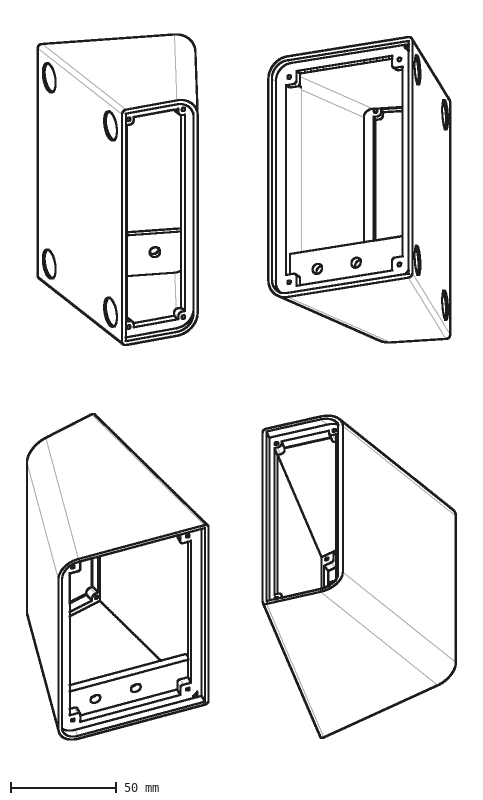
import cadquery as cq
import math

length_x = 92.0
depth_y = 73.6
height = 120.6
face_tilt = 15.0
back_slope = 25.0
back_radius = 10.0
front_radius = 2.0

recess_rim_u = 1.9
recess_wall = 2.0
recess_depth = 4.2
frame_thickness = 4.0
end_frame_thickness = 4.7
cavity_wall = 3.6
cavity_roof = 6.0

opening_inset_u = 7.4
opening_inset_z = 6.5
tab_inset = 12.8
tab_radius = 1.5
screw_inset = 8.9
screw_diameter = 1.8
notch_inset_u = 4.1
notch_inset_z = 3.1
notch_leg = 2.2

end_inset_y = 4.6
end_tab_inset_y = 8.2
end_tab_inset_z = 10.0
end_tab_radius = 2.0
end_screw_inset_y = 5.5
end_screw_inset_z = 7.1

shelf_height = 24.5
shelf_thickness = 4.0
shelf_hole_diameter = 5.0
shelf_hole_z = 14.8
shelf_holes_u = (33.8, 54.3)

foot_diameter = 14.0
foot_depth = 1.0
foot_spacing_x = 66.8
foot_spacing_z = 95.4

tilt_sin = math.sin(math.radians(face_tilt))
tilt_cos = math.cos(math.radians(face_tilt))
slope_tan = math.tan(math.radians(back_slope))
slope_cos = math.cos(math.radians(back_slope))

top_x = depth_y * tilt_sin / tilt_cos
end_y = depth_y - (length_x - top_x) * slope_tan
face_width = depth_y / tilt_cos
frame_back = recess_depth + frame_thickness
middle_u = face_width / 2
middle_z = height / 2
end_frame_x = length_x - recess_depth - end_frame_thickness
end_opening_back = end_y - end_inset_y
inward_edges = cq.selectors.ParallelDirSelector(cq.Vector(tilt_cos, -tilt_sin, 0))


def tilted_plane(depth):
    """Sketch plane parallel to the tilted face: u up the face, v along Z, normal pointing inwards."""
    origin = (depth * tilt_cos, -depth * tilt_sin, 0)
    return cq.Workplane(cq.Plane(origin, (tilt_sin, tilt_cos, 0), (tilt_cos, -tilt_sin, 0)))


def tilted_block(u_min, u_max, z_min, z_max, depth, thickness):
    """Box square to the tilted face, starting at the given depth below it."""
    sketch = tilted_plane(depth).center((u_min + u_max) / 2, (z_min + z_max) / 2)
    return sketch.rect(u_max - u_min, z_max - z_min).extrude(thickness)


def wedge(wall, roof):
    """Outer wedge inset by a wall (by the roof at +Z); its back edges keep the body's fillet lines."""
    back_drop = wall / slope_cos
    left_x = wall * tilt_sin / tilt_cos
    peak_x = (depth_y - back_drop + top_x * slope_tan) / (tilt_cos / tilt_sin + slope_tan)
    peak_y = peak_x * tilt_cos / tilt_sin
    outline = [(left_x, wall), (length_x, wall), (length_x, end_y - back_drop), (peak_x, peak_y)]
    solid = cq.Workplane("XY").workplane(offset=wall).polyline(outline).close().extrude(height - wall - roof)
    back_edges = cq.selectors.ParallelDirSelector(cq.Vector(1, -slope_tan, 0))
    solid = solid.edges(back_edges).edges("<Z").fillet(back_radius - wall)
    return solid.edges(back_edges).edges(">Z").fillet(back_radius - roof)


def make_cavity():
    """Space between the two frames; its back corner follows the tilted opening."""
    between = tilted_block(0, face_width - opening_inset_u, 0, height, frame_back, 2 * length_x)
    before_end = cq.Workplane("XY").box(end_frame_x, depth_y, height, centered=False)
    return wedge(cavity_wall, cavity_roof).intersect(between).intersect(before_end)


def make_tilted_recess():
    """Panel recess in the tilted face, rounded at its two back corners."""
    recess = tilted_block(
        recess_rim_u, face_width - recess_rim_u, recess_wall, height - recess_wall, 0, recess_depth
    )
    corner_edges = recess.edges(inward_edges)
    return corner_edges.edges(">Y").fillet(back_radius - recess_wall)


def make_tilted_opening():
    """Opening through the tilted frame, less a tab with a screw hole in every corner."""
    opening = tilted_block(
        opening_inset_u, face_width - opening_inset_u,
        opening_inset_z, height - opening_inset_z, recess_depth, frame_thickness,
    )
    corners = [(s, t) for s in (-1, 1) for t in (-1, 1)]
    tab_points = [(middle_u + s * middle_u, middle_z + t * middle_z) for s, t in corners]
    tabs = (
        tilted_plane(recess_depth).pushPoints(tab_points)
        .rect(2 * tab_inset, 2 * tab_inset).extrude(frame_thickness)
        .edges(inward_edges).fillet(tab_radius)
    )
    screw_u = middle_u - screw_inset
    screw_z = middle_z - screw_inset
    screw_points = [(middle_u + s * screw_u, middle_z + t * screw_z) for s, t in corners]
    screws = tilted_plane(recess_depth).pushPoints(screw_points).circle(screw_diameter / 2)
    return opening.cut(tabs).union(screws.extrude(frame_thickness))


def make_corner_notches():
    """Triangular pockets in the two front corners of the tilted frame."""
    notches = cq.Workplane("XY")
    for z, step in ((notch_inset_z, notch_leg), (height - notch_inset_z, -notch_leg)):
        triangle = [(notch_inset_u, z), (notch_inset_u + notch_leg, z), (notch_inset_u, z + step)]
        notches = notches.add(tilted_plane(recess_depth).polyline(triangle).close().extrude(frame_thickness))
    return notches.combine()


def end_block(y_min, y_max, inset_z, x_min, x_max):
    """Box reaching from x_min to x_max, inset equally from both Z sides."""
    corner = (x_min, y_min, inset_z)
    size_z = height - 2 * inset_z
    return cq.Workplane("XY").box(x_max - x_min, y_max - y_min, size_z, centered=False).translate(corner)


def make_end_recess():
    """Panel recess in the +X end, following the outer outline."""
    recess = wedge(recess_wall, recess_wall)
    return recess.intersect(end_block(0, depth_y, 0, length_x - recess_depth, length_x))


def make_end_opening():
    """Opening through the +X frame with its own corner tabs and screw holes."""
    opening = end_block(end_inset_y, end_opening_back, opening_inset_z, end_frame_x, length_x - recess_depth)
    frame_plane = cq.Workplane("YZ").workplane(offset=end_frame_x)
    tab_points = [(y, z) for y in (0, end_y) for z in (0, height)]
    tabs = (
        frame_plane.pushPoints(tab_points).rect(2 * end_tab_inset_y, 2 * end_tab_inset_z)
        .extrude(end_frame_thickness).edges("|X").fillet(end_tab_radius)
    )
    screw_points = [
        (y, z)
        for y in (end_screw_inset_y, end_y - end_screw_inset_y)
        for z in (end_screw_inset_z, height - end_screw_inset_z)
    ]
    screws = frame_plane.pushPoints(screw_points).circle(screw_diameter / 2).extrude(end_frame_thickness)
    return opening.cut(tabs).union(screws)


def make_shelf():
    """Upright plate against the inner side of the tilted frame, with two round holes."""
    plate = tilted_block(0, face_width - opening_inset_u, 0, shelf_height, frame_back, shelf_thickness)
    hole_points = [(u, shelf_hole_z) for u in shelf_holes_u]
    holes = tilted_plane(frame_back).pushPoints(hole_points).circle(shelf_hole_diameter / 2)
    return plate.cut(holes.extrude(shelf_thickness))


def make_foot_pockets():
    """Four shallow round pockets in the front wall."""
    return (
        cq.Workplane("XZ").center(length_x / 2, middle_z)
        .rarray(foot_spacing_x, foot_spacing_z, 2, 2).circle(foot_diameter / 2).extrude(-foot_depth)
    )


body = wedge(0, 0)
body = body.edges("|X").edges("<Y").fillet(front_radius)
cavity = make_cavity()
result = (
    body.cut(cavity)
    .union(make_shelf().intersect(cavity))
    .cut(make_tilted_recess())
    .cut(make_tilted_opening())
    .cut(make_corner_notches())
    .cut(make_end_recess())
    .cut(make_end_opening())
    .cut(make_foot_pockets())
)